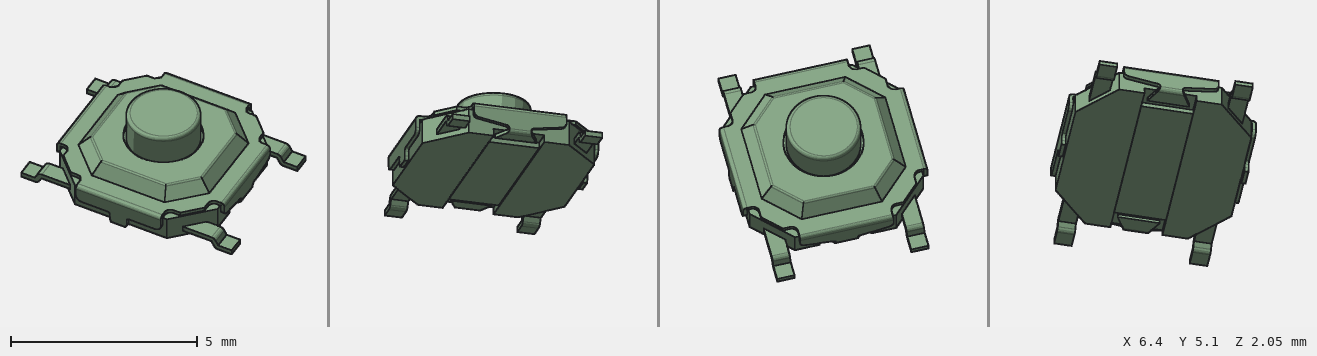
import math

import cadquery as cq

total_height = 2.05
body_bottom = 0.05
body_top = 0.745
cover_top = 0.9
dome_top = 1.24

body_width = 4.8
body_side_half = 1.4
channel_width = 1.42
channel_roof = 0.09
pocket_roof = 0.25
pocket_depth = 0.5

film_diameter = 4.75

cover_width = 5.1
sheet = 0.11
cover_bottom = cover_top - sheet
bend_line = cover_width / 2 - sheet
cut_corner_reach = 3.81
flap_half = 1.29
notch_floor = 2.145
notch_size = 0.9
corner_radius = 0.175

tabbed_flap_bottom = 0.385
tab_half = 0.258
tab_root_radius = 0.07
tab_tip_round_start = 0.17

taper_angle = 9.4
taper_start = 0.494
taper_radius = 0.15
neck_half = 0.302
neck_radius = 0.1
hook_half = 0.574
hook_flank_angle = 30.0

dome_base_half = 1.99
dome_base_side_half = 1.108
dome_wall_angle = 42.5
dome_edge_radius = 0.08
dome_hole_diameter = 2.15

button_diameter = 2.0
button_edge_radius = 0.1

lead_span = 6.4
lead_width = 0.48
lead_y = 1.85
lead_thickness = 0.15
lead_shelf = 0.21
lead_foot_length = 0.41
lead_slope = 60.0
lead_inner_x = 1.5


def octagon_points(half, side_half):
    """Corners of a square of half width `half` with cut corners."""
    return [
        (half, -side_half),
        (half, side_half),
        (side_half, half),
        (-side_half, half),
        (-half, side_half),
        (-half, -side_half),
        (-side_half, -half),
        (side_half, -half),
    ]


def octagon_sketch(half, side_half, z):
    return cq.Workplane("XY", origin=(0, 0, z)).polyline(octagon_points(half, side_half)).close()


def cylinder(diameter, bottom, top):
    return cq.Workplane("XY", origin=(0, 0, bottom)).circle(diameter / 2).extrude(top - bottom)


def both_ways(shape):
    """The shape together with its copy turned half a turn about Z."""
    return shape.union(shape.rotate((0, 0, 0), (0, 0, 1), 180))


def make_body():
    body = octagon_sketch(body_width / 2, body_side_half, body_bottom).extrude(body_top - body_bottom)
    underside = cq.Workplane("XY", origin=(0, 0, body_bottom))
    channel = underside.rect(body_width, channel_width).extrude(channel_roof - body_bottom)
    pocket = (
        underside.center((body_width - pocket_depth) / 2, 0)
        .rect(pocket_depth, channel_width)
        .extrude(pocket_roof - body_bottom)
    )
    return body.cut(channel).cut(both_ways(pocket))


def make_cover_plate():
    """Flat octagonal plate with a rounded notch at both ends of each flap."""
    plate = octagon_sketch(bend_line, cut_corner_reach - bend_line, cover_bottom).extrude(sheet)
    along_side = flap_half + notch_size / 2
    from_axis = notch_floor + notch_size / 2
    centres = []
    for sx in (-1, 1):
        for sy in (-1, 1):
            centres.append((sx * along_side, sy * from_axis))
            centres.append((sx * from_axis, sy * along_side))
    notches = (
        cq.Workplane("XY", origin=(0, 0, cover_bottom))
        .pushPoints(centres)
        .rect(notch_size, notch_size)
        .extrude(sheet)
        .edges("|Z")
        .fillet(corner_radius)
    )
    return plate.cut(notches)


def make_bent_strip(bottom):
    """Strip on the +X side that bends down from the plate and hangs to `bottom`."""
    arc_middle = sheet * math.sqrt(0.5)
    return (
        cq.Workplane("XZ", origin=(0, flap_half, 0))
        .moveTo(bend_line, cover_top)
        .threePointArc(
            (bend_line + arc_middle, cover_bottom + arc_middle),
            (bend_line + sheet, cover_bottom),
        )
        .lineTo(bend_line + sheet, bottom)
        .lineTo(bend_line, bottom)
        .close()
        .extrude(2 * flap_half)
    )


def make_flap_mask(right_side):
    """Prism on the +X side, cut to a symmetric outline given by its right half."""
    left_side = [(-y, z) for y, z in reversed(right_side)]
    return (
        cq.Workplane("YZ", origin=(bend_line, 0, 0))
        .polyline(right_side + left_side)
        .close()
        .extrude(sheet)
    )


def round_corners(mask, half, height, radius):
    """Round the two corners of a flap outline at +-`half` and `height`."""
    corners = [cq.Vector(bend_line + sheet / 2, side * half, height) for side in (-1, 1)]
    match_distance = sheet / 10
    edges = [
        edge
        for edge in mask.edges("|X").vals()
        if min((edge.Center() - corner).Length for corner in corners) < match_distance
    ]
    return mask.newObject(edges).fillet(radius)


def make_tabbed_flap():
    """Flap with a centre tab that reaches the bottom of the body and curves in at its tip."""
    tip_end = tab_tip_round_start - corner_radius
    mask = make_flap_mask([
        (tab_half, tip_end),
        (tab_half, tabbed_flap_bottom),
        (flap_half, tabbed_flap_bottom),
        (flap_half, cover_top),
    ])
    mask = round_corners(mask, tab_half, tip_end, corner_radius)
    mask = round_corners(mask, tab_half, tabbed_flap_bottom, tab_root_radius)
    mask = round_corners(mask, flap_half, tabbed_flap_bottom, corner_radius)
    return make_bent_strip(body_bottom).intersect(mask)


def make_hooked_flap():
    """Flap that tapers to a neck, then bends inward under the body and widens."""
    neck_top = taper_start - (flap_half - neck_half) * math.tan(math.radians(taper_angle))
    hook_bottom = pocket_roof - sheet
    mask = make_flap_mask([
        (neck_half, hook_bottom),
        (neck_half, neck_top),
        (flap_half, taper_start),
        (flap_half, cover_top),
    ])
    mask = round_corners(mask, neck_half, neck_top, neck_radius)
    mask = round_corners(mask, flap_half, taper_start, taper_radius)
    flap = make_bent_strip(pocket_roof).intersect(mask)

    hook_spread = (hook_half - neck_half) / math.tan(math.radians(hook_flank_angle))
    outer_face = bend_line + sheet
    hook_tip = outer_face - hook_spread
    arc_middle = sheet * math.sqrt(0.5)
    hook = (
        cq.Workplane("XZ", origin=(0, hook_half, 0))
        .moveTo(outer_face, pocket_roof)
        .threePointArc((bend_line + arc_middle, pocket_roof - arc_middle), (bend_line, hook_bottom))
        .lineTo(hook_tip, hook_bottom)
        .lineTo(hook_tip, pocket_roof)
        .close()
        .extrude(2 * hook_half)
    )
    hook_plan = (
        cq.Workplane("XY", origin=(0, 0, hook_bottom))
        .polyline([
            (outer_face, -neck_half),
            (outer_face, neck_half),
            (hook_tip, hook_half),
            (hook_tip, -hook_half),
        ])
        .close()
        .extrude(sheet)
    )
    return flap.union(hook.intersect(hook_plan))


def make_dome():
    dome = (
        octagon_sketch(dome_base_half, dome_base_side_half, cover_top)
        .extrude(dome_top - cover_top, taper=dome_wall_angle)
        .faces(">Z")
        .edges()
        .fillet(dome_edge_radius)
    )
    return dome.cut(cylinder(dome_hole_diameter, dome_top - sheet, dome_top))


def make_button():
    button = cylinder(button_diameter, cover_bottom, total_height)
    return button.faces(">Z").edges().fillet(button_edge_radius)


def make_lead():
    """Flat lead on the +X, +Y corner: foot, sloping bend and shelf into the body."""
    slope = math.radians(lead_slope)
    foot_bend_x = lead_span / 2 - lead_foot_length
    step = lead_shelf - lead_thickness
    shelf_bend_x = foot_bend_x - (lead_thickness + step * math.cos(slope)) / math.sin(slope)
    slope_dx = lead_thickness * math.sin(slope)
    slope_dz = lead_thickness * math.cos(slope)
    mid_dx = lead_thickness * math.sin(slope / 2)
    mid_dz = lead_thickness * math.cos(slope / 2)
    return (
        cq.Workplane("XZ", origin=(0, lead_y + lead_width / 2, 0))
        .moveTo(lead_inner_x, lead_shelf + lead_thickness)
        .lineTo(shelf_bend_x, lead_shelf + lead_thickness)
        .threePointArc(
            (shelf_bend_x + mid_dx, lead_shelf + mid_dz),
            (shelf_bend_x + slope_dx, lead_shelf + slope_dz),
        )
        .lineTo(foot_bend_x, lead_thickness)
        .lineTo(lead_span / 2, lead_thickness)
        .lineTo(lead_span / 2, 0)
        .lineTo(foot_bend_x, 0)
        .threePointArc(
            (foot_bend_x - mid_dx, lead_thickness - mid_dz),
            (foot_bend_x - slope_dx, lead_thickness - slope_dz),
        )
        .lineTo(shelf_bend_x, lead_shelf)
        .lineTo(lead_inner_x, lead_shelf)
        .close()
        .extrude(lead_width)
    )


tabbed_flap = make_tabbed_flap().rotate((0, 0, 0), (0, 0, 1), 90)
lead_pair = make_lead()
lead_pair = lead_pair.union(lead_pair.mirror("XZ"))

result = (
    make_body()
    .union(cylinder(film_diameter, body_top, cover_bottom))
    .union(make_cover_plate())
    .union(both_ways(make_hooked_flap()))
    .union(both_ways(tabbed_flap))
    .union(make_dome())
    .union(make_button())
    .union(both_ways(lead_pair))
)